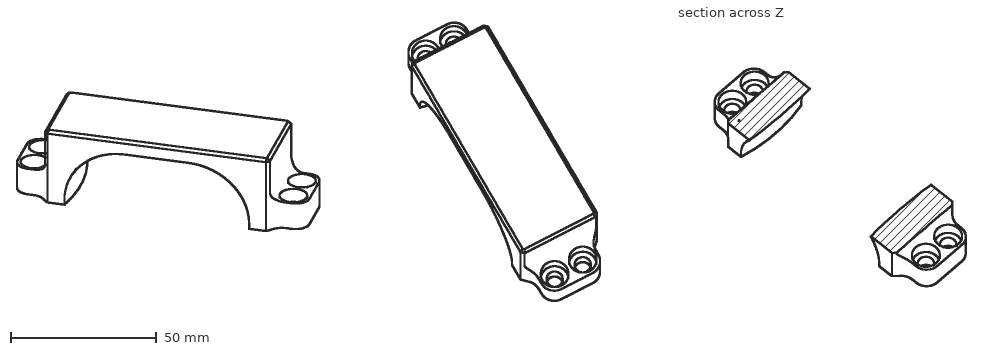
import cadquery as cq
import math

total_length = 104.0
body_length = 80.0
body_depth = 30.0
body_height = 28.0
body_chamfer = 1.0

tab_depth = 22.3
tab_height = 10.0
corner_radius = 5.0
blend_radius = 5.0
chamfer_overrun = 0.57

hole_spacing = 11.0
hole_inset = 5.9
hole_diameter = 5.6
bore_diameter = 9.6
bore_depth = 5.0

mouth = (32.9, 22.7, 11.4, 2.1)
throat = (31.1, 18.9, 15.6, 7.3)

half_total = total_length / 2
half_body = body_length / 2
half_tab = tab_depth / 2
half_depth = body_depth / 2
hole_x = half_total - hole_inset
hole_points = [(-hole_x, -hole_spacing / 2), (-hole_x, hole_spacing / 2)]


def make_half_blank():
    """Left half: block and full-depth tab, bored, then blended where they meet."""
    standing = (False, True, False)
    block = cq.Workplane("XY", origin=(-half_body, 0, 0))
    block = block.box(half_body, body_depth, body_height, centered=standing)
    tab = cq.Workplane("XY", origin=(-half_total, 0, 0))
    tab = tab.box(half_total, body_depth, tab_height, centered=standing)
    blank = block.union(tab)
    bores = (
        cq.Workplane("XY").workplane(offset=tab_height - bore_depth)
        .pushPoints(hole_points).circle(bore_diameter / 2).extrude(bore_depth)
    )
    holes = cq.Workplane("XY").pushPoints(hole_points).circle(hole_diameter / 2).extrude(tab_height)
    inside_corner = cq.selectors.NearestToPointSelector((-half_body, 0, tab_height))
    return blank.cut(bores).cut(holes).edges(inside_corner).fillet(blend_radius)


def make_half_outline():
    """Plan of the left half: chamfered body corners flaring into a rounded tab."""
    front_half = make_quarter_outline()
    return front_half.union(front_half.mirror("XZ"))


def make_quarter_outline():
    """Plan of the left front quarter, extruded to full height."""
    rim = (-half_body - chamfer_overrun, -half_depth + body_chamfer + chamfer_overrun)
    flare_end = (-half_body - blend_radius, -half_tab)
    run = rim[0] - flare_end[0]
    rise = flare_end[1] - rim[1]
    flare_radius = (run**2 + rise**2) / (2 * rise)
    half_turn = math.atan2(rise, run)
    flare_middle = (
        flare_end[0] + flare_radius * math.sin(half_turn),
        flare_end[1] - flare_radius * (1 - math.cos(half_turn)),
    )
    corner_center = (-half_total + corner_radius, -half_tab + corner_radius)
    corner_offset = corner_radius * math.sqrt(0.5)
    return (
        cq.Workplane("XY")
        .moveTo(0, 0)
        .lineTo(0, -half_depth)
        .lineTo(-half_body + body_chamfer, -half_depth)
        .lineTo(*rim)
        .threePointArc(flare_middle, flare_end)
        .lineTo(corner_center[0], -half_tab)
        .threePointArc(
            (corner_center[0] - corner_offset, corner_center[1] - corner_offset),
            (-half_total, corner_center[1]),
        )
        .lineTo(-half_total, 0)
        .close()
        .extrude(body_height)
    )


def draw_arch(plane, half_width, height, half_flat, leg):
    """Closed arch outline on the given plane."""
    shoulder_width = half_width - half_flat
    shoulder_height = height - leg
    return (
        plane.moveTo(half_width, 0)
        .lineTo(half_width, leg)
        .ellipseArc(shoulder_width, shoulder_height, 0, 90, startAtCurrent=True)
        .lineTo(-half_flat, height)
        .ellipseArc(shoulder_width, shoulder_height, 90, 180, startAtCurrent=True)
        .lineTo(-half_width, 0)
        .close()
    )


def make_opening():
    """Hand opening that curves smoothly from mouth to throat and back to mouth."""
    section = draw_arch(cq.Workplane("XZ", origin=(0, -half_depth, 0)), *mouth)
    section = draw_arch(section.workplane(offset=-half_depth), *throat)
    section = draw_arch(section.workplane(offset=-half_depth), *mouth)
    return section.loft(ruled=False)


half = make_half_blank().intersect(make_half_outline())
whole = half.union(half.mirror("YZ")).clean()
result = whole.faces(">Z").chamfer(body_chamfer).cut(make_opening())